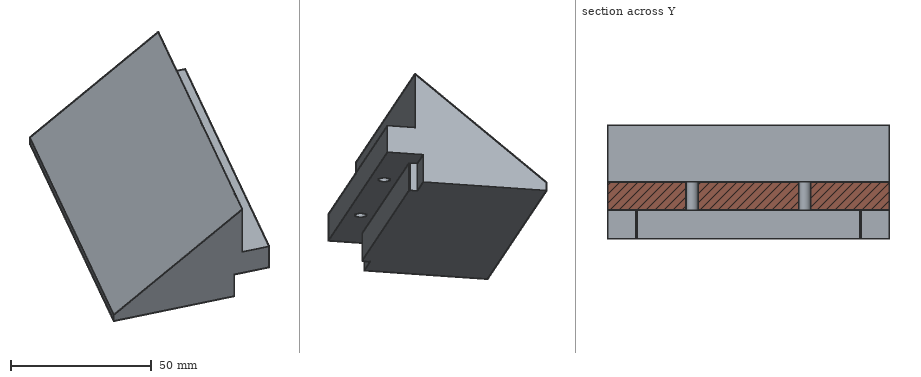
import cadquery as cq

length = 100.0
wedge_depth = 47.8
height = 40.35
front_lip_height = 3.0

tongue_depth = 10.0
tongue_thickness = 9.95
tongue_bottom = 10.25
tongue_top = tongue_bottom + tongue_thickness
back = wedge_depth + tongue_depth

hole_diameter = 4.2
hole_spacing = 40.0
hole_setback = 5.3
hole_y = back - hole_setback

notch_depth = 3.0
notch_length = 10.0
notch_chamfer = 0.5


def wedge_with_tongue():
    """Side profile extruded along the length, centred on X = 0."""
    profile = [
        (0, 0),
        (wedge_depth, 0),
        (wedge_depth, tongue_bottom),
        (back, tongue_bottom),
        (back, tongue_top),
        (wedge_depth, tongue_top),
        (wedge_depth, height),
        (0, front_lip_height),
    ]
    return cq.Workplane("YZ").polyline(profile).close().extrude(length / 2, both=True)


def end_notch(side):
    """Notch under the tongue with a 45 degree lead-in; side is -1 or +1 along X."""
    end_x = length / 2
    inner_x = end_x - notch_length
    outline = [
        (side * end_x, wedge_depth - notch_depth),
        (side * inner_x, wedge_depth - notch_depth),
        (side * inner_x, wedge_depth - notch_chamfer),
        (side * (inner_x - notch_chamfer), wedge_depth),
        (side * end_x, wedge_depth),
    ]
    return cq.Workplane("XY").polyline(outline).close().extrude(tongue_bottom)


def screw_hole(side):
    """Vertical hole through the tongue; side is -1 or +1 along X."""
    return (
        cq.Workplane("XY", origin=(side * hole_spacing / 2, hole_y, tongue_bottom))
        .circle(hole_diameter / 2)
        .extrude(tongue_thickness)
    )


result = wedge_with_tongue()
for side in (-1, 1):
    result = result.cut(end_notch(side))
    result = result.cut(screw_hole(side))